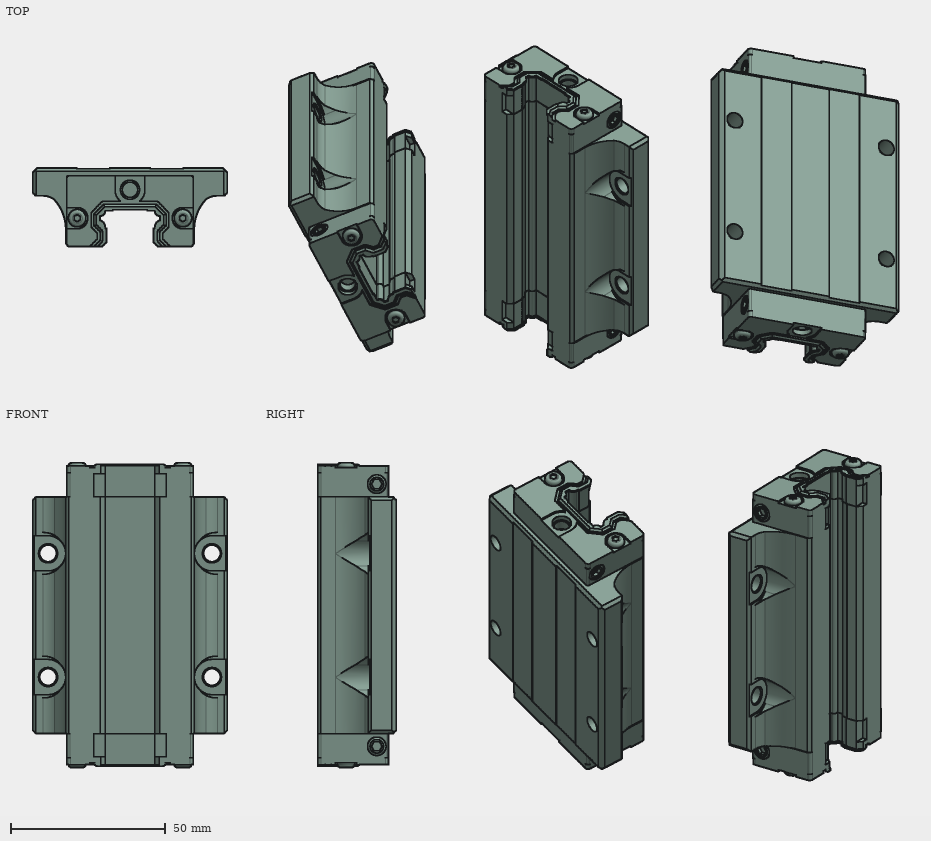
import math

import cadquery as cq


FLANGE_WIDTH = 62.95
HEIGHT = 25.5
OVERALL_LENGTH = 98.6
BLOCK_LENGTH = 76.6

BODY_WIDTH = 41.6
FLANGE_HALF = FLANGE_WIDTH / 2
BODY_HALF = BODY_WIDTH / 2
FLANGE_UNDERSIDE_Y = 16.4
FLANGE_TOP_CHAMFER = 1.5
FLANGE_LOWER_CHAMFER = 1.0
BLOCK_END_CHAMFER = 1.1
FOOT_CHAMFER = 1.05
FLARE_OUTER_X = 28.2
FLARE_JOINT = (24.5, 15.2)
FLARE_START_Y = 5.7
TOP_GROOVE_INNER_X = 6.55
TOP_GROOVE_OUTER_X = 17.2
TOP_GROOVE_DEPTH = 0.3

HOLE_X = 26.5
HOLE_Z = 20.0
HOLE_DIA = 5.4
HOLE_MOUTH_DIA = 6.2
SPOT_RADIUS = 5.7
SPOT_FACE_Y = 16.9
RELIEF_X = 27.9
RELIEF_RADIUS = 6.76

CAP_WIDTH = 41.0
CAP_HALF = CAP_WIDTH / 2
CAP_HEIGHT = 23.0
CAP_UPPER_ROUND = 0.7
CAP_LOWER_ROUND = 1.0
PLATE_ROUND = 1.1
PLATE_THICKNESS = 2.2
SCREW_STANDOUT = 1.0
SEAL_STANDOUT = 0.6
RECESS_DEPTH = 0.65
BLOCK_END_Z = BLOCK_LENGTH / 2
SCREW_TOP_Z = OVERALL_LENGTH / 2
CAP_END_Z = SCREW_TOP_Z - SCREW_STANDOUT
SEAL_Z = CAP_END_Z + SEAL_STANDOUT
PLATE_START_Z = CAP_END_Z - PLATE_THICKNESS
RECESS_FLOOR_Z = CAP_END_Z - RECESS_DEPTH

CAP_CLEARANCE = 0.38
BLOCK_CLEARANCE = 0.45
CHANNEL_CEILING_Y = 11.6
BULGE_X = 8.0
BULGE_TOP_Y = 11.4
UPPER_BULGE_POINT = (8.45, 10.35)
WAIST_X = 9.65
WAIST_TOP_Y = 9.85
WAIST_LOWER_Y = 8.5
LOWER_BULGE_POINT = (8.45, 7.7)
BULGE_LOWER_Y = 6.4
LIP_X = 7.6
LIP_TOP_Y = 5.9
LIP_CHAMFER = 1.4
SEAL_CEILING_X = 8.2
SEAL_CEILING_Y = 12.9
SEAL_WAIST_X = 10.85
SEAL_WAIST_TOP_Y = 10.2
SEAL_WAIST_LOWER_Y = 7.1
SEAL_NECK_X = 8.87
SEAL_NECK_TOP_Y = 5.1
SEAL_FOOT_Y = 1.7
SEAL_CORNER_ROUND = 1.0
BELOW = 3.0
SEAL_BEVEL = 0.8
SEAL_GROOVE_WIDTH = 0.95
SEAL_NOTCH_HALF = 5.5
SEAL_NOTCH_DEPTH = 0.3

POCKET_INNER_X = 7.0
POCKET_OUTER_X = 11.7
POCKET_DEPTH = 1.65
POCKET_END_Z = 45.8

SCREW_X = 17.1
SCREW_Y = 9.2
SCREW_HEAD_DIA = 5.7
SCREW_HEAD_RIM = 0.5
SCREW_FLAT_DIA = 3.2
SCREW_SHOULDER_POINT = (2.54, 1.3)
SCREW_SOCKET = 2.0
SCREW_SOCKET_DEPTH = 0.5
SCREW_RECESS_RADIUS = 3.45

PORT_Y = 18.4
PORT_DIA = 5.0
PORT_MOUTH_DIA = 6.2
PORT_MOUTH_DEPTH = 1.8
PORT_DEPTH = 6.0
PORT_RECESS_HALF = 4.85
PLUG_Y = 19.15
PLUG_Z = 42.4
PLUG_DIA = 6.0
PLUG_FLAT_DIA = 4.4
PLUG_BEVEL_DEPTH = 0.5
PLUG_SOCKET = 3.0
PLUG_SOCKET_DEPTH = 1.5


def box(x0, x1, y0, y1, z0, z1):
    """Box between two opposite corners."""
    return cq.Workplane("XY").box(x1 - x0, y1 - y0, z1 - z0, centered=False).translate((x0, y0, z0))


def cylinder_y(x, z, radius, y0, y1):
    """Cylinder along Y."""
    return cq.Workplane(cq.Solid.makeCylinder(radius, y1 - y0, cq.Vector(x, y0, z), cq.Vector(0, 1, 0)))


def cylinder_z(x, y, radius, z0, z1):
    """Cylinder along Z."""
    return cq.Workplane(cq.Solid.makeCylinder(radius, z1 - z0, cq.Vector(x, y, z0)))


def mirrored_x(shape):
    """The shape together with its mirror image across X = 0."""
    return shape.union(shape.mirror("YZ"))


def hexagon_diameter(across_flats):
    """Circumscribed diameter of a hexagon."""
    return across_flats / math.cos(math.pi / 6)


def symmetric_outline(half_points, z):
    """Closed polyline at height z from the points of its +X half, listed top to bottom."""
    other_half = [(-x, y) for x, y in reversed(half_points)]
    return cq.Workplane("XY", origin=(0, 0, z)).polyline(half_points + other_half).close()


def rail_channel(clearance, z0, z1):
    """Rail-shaped void, widened all round by the clearance.

    Below its ceiling the metal bulges twice into the ball grooves of the rail.
    """
    half = (
        cq.Workplane("XY", origin=(0, 0, z0))
        .moveTo(0, CHANNEL_CEILING_Y)
        .lineTo(BULGE_X, CHANNEL_CEILING_Y)
        .lineTo(BULGE_X, BULGE_TOP_Y)
        .threePointArc(UPPER_BULGE_POINT, (WAIST_X, WAIST_TOP_Y))
        .lineTo(WAIST_X, WAIST_LOWER_Y)
        .threePointArc(LOWER_BULGE_POINT, (BULGE_X, BULGE_LOWER_Y))
        .lineTo(BULGE_X, LIP_TOP_Y)
        .lineTo(LIP_X, LIP_TOP_Y)
        .lineTo(LIP_X, LIP_CHAMFER)
        .lineTo(LIP_X + LIP_CHAMFER + BELOW, -BELOW)
        .lineTo(0, -BELOW)
    )
    outline = half.mirrorY()
    if clearance:
        outline = outline.offset2D(clearance, "intersection")
    return outline.extrude(z1 - z0)


def seal_outline(growth, z):
    """Outer outline of the seal face, grown by the given distance, with rounded inner corners."""
    half = [
        (SEAL_CEILING_X, SEAL_CEILING_Y),
        (SEAL_WAIST_X, SEAL_WAIST_TOP_Y),
        (SEAL_WAIST_X, SEAL_WAIST_LOWER_Y),
        (SEAL_NECK_X, SEAL_NECK_TOP_Y),
        (SEAL_NECK_X, SEAL_FOOT_Y),
        (SEAL_NECK_X + SEAL_FOOT_Y + BELOW, -BELOW),
    ]
    sharp = symmetric_outline(half, z).offset2D(SEAL_CORNER_ROUND, "intersection")
    return sharp.offset2D(growth - SEAL_CORNER_ROUND, "arc")


def flange_outline():
    """The +X half of the steel block cross-section, without the rail channel."""
    joint_x, joint_y = FLARE_JOINT
    rise = joint_y - FLARE_START_Y
    run = joint_x - BODY_HALF
    large_radius = (run**2 + rise**2) / (2 * run)
    small_rise = FLANGE_UNDERSIDE_Y - joint_y
    small_run = FLARE_OUTER_X - joint_x
    small_radius = (small_run**2 + small_rise**2) / (2 * small_rise)
    lower_y = FLANGE_UNDERSIDE_Y + FLANGE_LOWER_CHAMFER
    upper_y = HEIGHT - FLANGE_TOP_CHAMFER
    return (
        cq.Workplane("XY")
        .moveTo(0, 0)
        .lineTo(BODY_HALF - FOOT_CHAMFER, 0)
        .lineTo(BODY_HALF, FOOT_CHAMFER)
        .lineTo(BODY_HALF, FLARE_START_Y)
        .radiusArc((joint_x, joint_y), large_radius)
        .radiusArc((FLARE_OUTER_X, FLANGE_UNDERSIDE_Y), small_radius)
        .lineTo(FLANGE_HALF - FLANGE_LOWER_CHAMFER, FLANGE_UNDERSIDE_Y)
        .lineTo(FLANGE_HALF, lower_y)
        .lineTo(FLANGE_HALF, upper_y)
        .lineTo(FLANGE_HALF - FLANGE_TOP_CHAMFER, HEIGHT)
        .lineTo(0, HEIGHT)
        .close()
    )


def steel_block():
    """Flanged block with bevelled ends, top grooves and the rail channel."""
    body = mirrored_x(flange_outline().extrude(BLOCK_END_Z, both=True))
    envelope = box(-FLANGE_HALF, FLANGE_HALF, 0, HEIGHT, -BLOCK_END_Z, BLOCK_END_Z)
    for end in (">Z", "<Z"):
        envelope = envelope.faces(end).edges(">Y or >X or <X").chamfer(BLOCK_END_CHAMFER)
    body = body.intersect(envelope)
    groove = box(
        TOP_GROOVE_INNER_X, TOP_GROOVE_OUTER_X,
        HEIGHT - TOP_GROOVE_DEPTH, HEIGHT,
        -BLOCK_END_Z, BLOCK_END_Z,
    )
    body = body.cut(mirrored_x(groove))
    return body.cut(rail_channel(BLOCK_CLEARANCE, -BLOCK_END_Z, BLOCK_END_Z))


def mounting_hole_cut(z):
    """Through hole with its spot face and relief under the +X flange."""
    mouth_depth = (HOLE_MOUTH_DIA - HOLE_DIA) / 2
    hole = cylinder_y(HOLE_X, z, HOLE_DIA / 2, 0, HEIGHT)
    mouth = cq.Workplane(
        cq.Solid.makeCone(
            HOLE_MOUTH_DIA / 2, HOLE_DIA / 2, mouth_depth,
            cq.Vector(HOLE_X, SPOT_FACE_Y, z), cq.Vector(0, 1, 0),
        )
    )
    spot = cylinder_y(HOLE_X, z, SPOT_RADIUS, 0, SPOT_FACE_Y)
    spot_side = box(HOLE_X, FLANGE_HALF, 0, SPOT_FACE_Y, z - SPOT_RADIUS, z + SPOT_RADIUS)
    relief = cylinder_y(RELIEF_X, z, RELIEF_RADIUS, 0, FLANGE_UNDERSIDE_Y)
    return hole.union(mouth).union(spot).union(spot_side).union(relief)


def cap_shell():
    """Outer body of the +Z end cap with its slightly rounder end plate."""
    body = box(-CAP_HALF, CAP_HALF, 0, CAP_HEIGHT, BLOCK_END_Z, PLATE_START_Z)
    body = body.edges("|Z and >Y").fillet(CAP_UPPER_ROUND)
    body = body.edges("|Z and <Y").fillet(CAP_LOWER_ROUND)
    plate = box(-CAP_HALF, CAP_HALF, 0, CAP_HEIGHT, PLATE_START_Z, CAP_END_Z)
    return body.union(plate.edges("|Z").fillet(PLATE_ROUND))


def seal():
    """Bevelled seal standing proud of the cap, clipped at the rail opening."""
    bevel_height = SEAL_Z - CAP_END_Z
    bevel_angle = math.degrees(math.atan2(SEAL_BEVEL, bevel_height))
    bevel = seal_outline(SEAL_BEVEL, CAP_END_Z).extrude(bevel_height, taper=bevel_angle)
    root = seal_outline(SEAL_BEVEL, RECESS_FLOOR_Z).extrude(CAP_END_Z - RECESS_FLOOR_Z)
    ring = root.union(bevel).intersect(
        box(-CAP_HALF, CAP_HALF, 0, CAP_HEIGHT, RECESS_FLOOR_Z, SEAL_Z)
    )
    notch = box(
        -SEAL_NOTCH_HALF, SEAL_NOTCH_HALF,
        CHANNEL_CEILING_Y, CHANNEL_CEILING_Y + SEAL_NOTCH_DEPTH,
        CAP_END_Z, SEAL_Z,
    )
    return ring.cut(notch).cut(rail_channel(0, CAP_END_Z, SEAL_Z))


def screw_recess():
    """Round-ended recess around the +X screw, open to the cap side."""
    round_end = cylinder_z(SCREW_X, SCREW_Y, SCREW_RECESS_RADIUS, RECESS_FLOOR_Z, CAP_END_Z)
    open_end = box(
        SCREW_X, CAP_HALF,
        SCREW_Y - SCREW_RECESS_RADIUS, SCREW_Y + SCREW_RECESS_RADIUS,
        RECESS_FLOOR_Z, CAP_END_Z,
    )
    return round_end.union(open_end)


def screw_head():
    """Button head of the +X screw with a hexagon socket."""
    height = SCREW_TOP_Z - RECESS_FLOOR_Z
    radius = SCREW_HEAD_DIA / 2
    flat = SCREW_FLAT_DIA / 2
    head = (
        cq.Workplane("XZ")
        .moveTo(0, 0)
        .lineTo(radius, 0)
        .lineTo(radius, SCREW_HEAD_RIM)
        .threePointArc(SCREW_SHOULDER_POINT, (flat, height))
        .lineTo(0, height)
        .close()
        .revolve(360, (0, 0, 0), (0, 1, 0))
    )
    socket = (
        cq.Workplane("XY", origin=(0, 0, height - SCREW_SOCKET_DEPTH))
        .transformed(rotate=(0, 0, 30))
        .polygon(6, hexagon_diameter(SCREW_SOCKET))
        .extrude(SCREW_SOCKET_DEPTH)
    )
    return head.cut(socket).translate((SCREW_X, SCREW_Y, RECESS_FLOOR_Z))


def end_port_recess():
    """Shallow U-shaped recess around the end grease port."""
    u_round = cylinder_z(0, PORT_Y, PORT_RECESS_HALF, RECESS_FLOOR_Z, CAP_END_Z)
    u_straight = box(
        -PORT_RECESS_HALF, PORT_RECESS_HALF, PORT_Y, CAP_HEIGHT, RECESS_FLOOR_Z, CAP_END_Z
    )
    return u_round.union(u_straight)


def end_port():
    """Stepped blind hole of the end grease port."""
    bore = cylinder_z(0, PORT_Y, PORT_DIA / 2, CAP_END_Z - PORT_DEPTH, CAP_END_Z)
    mouth = cylinder_z(0, PORT_Y, PORT_MOUTH_DIA / 2, RECESS_FLOOR_Z - PORT_MOUTH_DEPTH, CAP_END_Z)
    return bore.union(mouth)


def side_plug_cut():
    """Bevelled ring and hexagon socket of the plug in the +X side of the cap."""
    floor_x = CAP_HALF - PLUG_BEVEL_DEPTH
    outward = cq.Vector(1, 0, 0)
    base = cq.Vector(floor_x, PLUG_Y, PLUG_Z)
    ring = cq.Solid.makeCylinder(PLUG_DIA / 2, PLUG_BEVEL_DEPTH, base, outward)
    crown = cq.Solid.makeCone(PLUG_DIA / 2, PLUG_FLAT_DIA / 2, PLUG_BEVEL_DEPTH, base, outward)
    socket = (
        cq.Workplane("YZ", origin=(CAP_HALF - PLUG_SOCKET_DEPTH, PLUG_Y, PLUG_Z))
        .polygon(6, hexagon_diameter(PLUG_SOCKET))
        .extrude(PLUG_SOCKET_DEPTH)
    )
    return cq.Workplane(ring.cut(crown)).union(socket)


def end_cap():
    """Complete +Z end cap."""
    cap = cap_shell()
    cap = cap.cut(mirrored_x(screw_recess())).cut(end_port_recess())
    groove_growth = SEAL_BEVEL + SEAL_GROOVE_WIDTH
    cap = cap.cut(seal_outline(groove_growth, RECESS_FLOOR_Z).extrude(CAP_END_Z - RECESS_FLOOR_Z))
    cap = cap.union(seal())
    cap = cap.cut(rail_channel(CAP_CLEARANCE, BLOCK_END_Z, CAP_END_Z))
    cap = cap.cut(end_port())
    pocket = box(POCKET_INNER_X, POCKET_OUTER_X, 0, POCKET_DEPTH, BLOCK_END_Z, POCKET_END_Z)
    cap = cap.cut(mirrored_x(pocket)).cut(mirrored_x(side_plug_cut()))
    return cap.union(mirrored_x(screw_head()))


carriage = steel_block()
for hole_z in (-HOLE_Z, HOLE_Z):
    carriage = carriage.cut(mirrored_x(mounting_hole_cut(hole_z)))

cap_solid = end_cap()
result = carriage.union(cap_solid).union(cap_solid.mirror("XY"))